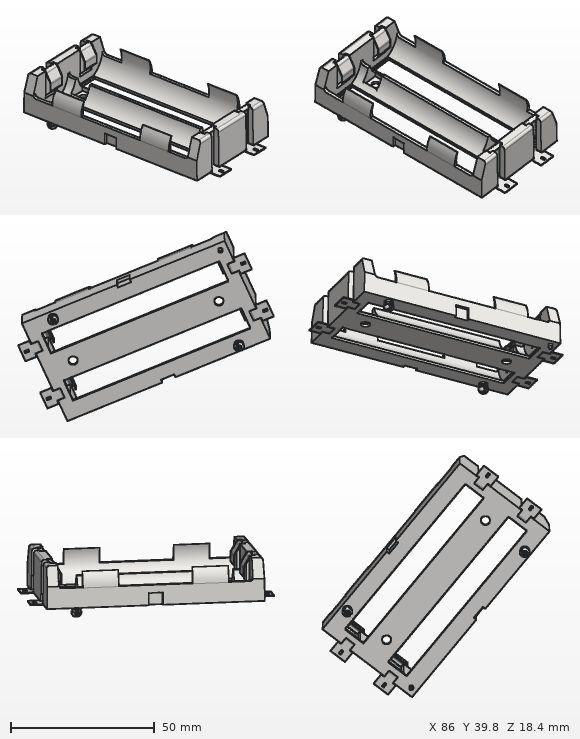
import cadquery as cq
import math

housing_length = 77.05
housing_width = 39.8
end_wall_height = 15.0
side_wall_height = 7.2
end_wall_inner_x = 34.3
end_wall_draft = 0.3
end_wall_top_radius = 1.0
end_wall_root_radius = 1.3
shoulder_base_z = 8.0
shoulder_inset = 2.4

cell_pitch = 19.2
cell_radius = 9.2
cell_axis_z = 9.3
floor_thickness = 1.0
window_length = 67.4
window_width = 8.2

clip_length = 12.7
clip_center_x = 19.4
clip_top_z = 12.7
clip_tip_thickness = 0.2

mount_x = 27.7
screw_pocket_size = 6.3
screw_hole_diameter = 3.2
notch_length = 5.0
notch_height = 4.4
notch_depth = 1.1

peg_y = 17.5
peg_length = 3.35
peg_collar_diameter = 3.2
peg_collar_length = 0.8
peg_neck_diameter = 2.9
peg_head_diameter = 3.6
peg_head_top = 1.7
peg_tip_diameter = 2.1
peg_flat_width = 3.2
peg_slot_width = 0.7
pin_x = 35.9
pin_diameter = 1.55
pin_straight_length = 0.9
pin_length = 1.6
pin_tip_diameter = 0.7

overall_length = 86
strip_thickness = 0.35
blade_width = 6.45
neck_width = 3.9
tab_inner_x = 38.7
tab_slot_x = 41.1
tab_slot_length = 1.55
tab_slot_width = 0.8
riser_outer_x = 36.2
foot_bend_radius = 0.2
crown_radius = 1.1
crown_top_z = 14.8
spring_angle = 30
spring_face_x = 32.1
spring_bottom_z = 7.3
spring_bend_radius = 0.8
spring_pocket_depth = 1.2
spring_pocket_floor_z = 4.0

half_length = housing_length / 2
half_width = housing_width / 2
half_pitch = cell_pitch / 2
crown_axis_x = riser_outer_x - crown_radius
crown_axis_z = crown_top_z - crown_radius
both_sides = (-1, 1)


def box(length, width, x, y, z_bottom, z_top):
    """Upright box centred at (x, y)."""
    height = z_top - z_bottom
    return cq.Workplane("XY").box(length, width, height, (True, True, False)).translate((x, y, z_bottom))


def box_between(x_start, x_end, width, z_bottom, z_top):
    """Upright box between two X positions, centred on y = 0."""
    return box(x_end - x_start, width, (x_start + x_end) / 2, 0, z_bottom, z_top)


def turned_to_end(body, end):
    """Turn a feature modelled at the -X end round to the +X end when end is 1."""
    return body.rotate((0, 0, 0), (0, 0, 1), 180) if end > 0 else body


def make_shell():
    """Low tray with two raised end walls, drafted outside and rounded at the top."""
    top_x = half_length - end_wall_draft
    shell = (
        cq.Workplane("XZ")
        .polyline([
            (-half_length, 0),
            (half_length, 0),
            (top_x, end_wall_height),
            (end_wall_inner_x, end_wall_height),
            (end_wall_inner_x, side_wall_height),
            (-end_wall_inner_x, side_wall_height),
            (-end_wall_inner_x, end_wall_height),
            (-top_x, end_wall_height),
        ])
        .close()
        .extrude(half_width, both=True)
    )
    for end in both_sides:
        outer_top = cq.selectors.NearestToPointSelector((end * top_x, 0, end_wall_height))
        shell = shell.edges(outer_top).fillet(end_wall_top_radius)
        inner_root = cq.selectors.NearestToPointSelector((end * end_wall_inner_x, 0, side_wall_height))
        shell = shell.edges(inner_root).fillet(end_wall_root_radius)
    return shell


def make_shoulder_cutter(side):
    """Wedge that slopes the top corners of both end walls on one side."""
    return (
        cq.Workplane("YZ")
        .polyline([
            (side * half_width, shoulder_base_z),
            (side * half_width, end_wall_height),
            (side * (half_width - shoulder_inset), end_wall_height),
        ])
        .close()
        .extrude(half_length, both=True)
    )


def make_trough_cutter(cell_side):
    """Cell cylinder flattened at the floor, plus the window through the floor."""
    cell_y = cell_side * half_pitch
    cylinder = (
        cq.Workplane("YZ")
        .center(cell_y, cell_axis_z)
        .circle(cell_radius)
        .extrude(end_wall_inner_x, both=True)
    )
    above_floor = box(housing_length, cell_pitch, 0, cell_y, floor_thickness, cell_axis_z + cell_radius)
    window = box(window_length, window_width, 0, cell_y, 0, cell_axis_z)
    return cylinder.intersect(above_floor).union(window)


def trough_half_width(z):
    """Half width of a cell trough at height z."""
    return math.sqrt(cell_radius**2 - (z - cell_axis_z) ** 2)


def upright_arc_middle(rise, lean):
    """Rise and lean at the middle of an arc that starts upright and leans over by its end."""
    radius = (rise**2 + lean**2) / (2 * lean)
    half_angle = math.asin(rise / radius) / 2
    return radius * math.sin(half_angle), radius * (1 - math.cos(half_angle))


def make_clip(x, side):
    """Clip that follows the cell inside and curls inward from the side wall outside."""
    inner_base_y = half_pitch + trough_half_width(side_wall_height)
    inner_tip_y = half_pitch + trough_half_width(clip_top_z)
    outer_tip_y = inner_tip_y + clip_tip_thickness
    rise = clip_top_z - side_wall_height
    lean = half_width - outer_tip_y
    mid_rise, mid_lean = upright_arc_middle(rise, lean)
    outer_mid = (side * (half_width - mid_lean), side_wall_height + mid_rise)
    return (
        cq.Workplane("YZ", origin=(x, 0, 0))
        .moveTo(side * half_width, side_wall_height)
        .threePointArc(outer_mid, (side * outer_tip_y, clip_top_z))
        .lineTo(side * inner_tip_y, clip_top_z)
        .threePointArc(
            (side * (half_pitch + cell_radius), cell_axis_z),
            (side * inner_base_y, side_wall_height),
        )
        .close()
        .extrude(clip_length / 2, both=True)
    )


def make_contact_cutter(end, cell_side):
    """Outer channel, crown seat and inner spring pocket for one contact."""
    channel = box_between(
        -half_length, strip_thickness - riser_outer_x, neck_width, 0, end_wall_height
    )
    crown_seat = box_between(
        -riser_outer_x, -end_wall_inner_x, blade_width, crown_axis_z, end_wall_height
    )
    spring_pocket = box_between(
        -end_wall_inner_x - spring_pocket_depth,
        -end_wall_inner_x,
        blade_width,
        spring_pocket_floor_z,
        end_wall_height,
    )
    cutter = channel.union(crown_seat).union(spring_pocket)
    return turned_to_end(cutter, end).translate((0, cell_side * half_pitch, 0))


def make_peg(x, y):
    """Snap peg: collar, neck and rounded head, flattened on two sides and split along Y."""
    head_radius = peg_head_diameter / 2
    tip_radius = peg_tip_diameter / 2
    mid_drop, mid_lean = upright_arc_middle(peg_length - peg_head_top, head_radius - tip_radius)
    bulge = (head_radius - mid_lean, -peg_head_top - mid_drop)
    peg = (
        cq.Workplane("XZ")
        .lineTo(peg_collar_diameter / 2, 0)
        .lineTo(peg_collar_diameter / 2, -peg_collar_length)
        .lineTo(peg_neck_diameter / 2, -peg_collar_length)
        .lineTo(peg_neck_diameter / 2, -peg_head_top)
        .lineTo(head_radius, -peg_head_top)
        .threePointArc(bulge, (tip_radius, -peg_length))
        .lineTo(0, -peg_length)
        .close()
        .revolve(360, (0, 0, 0), (0, 1, 0))
    )
    flats = box(peg_head_diameter, peg_flat_width, 0, 0, -peg_length, 0)
    slot = box(peg_slot_width, peg_head_diameter, 0, 0, -peg_length, -peg_collar_length)
    return peg.intersect(flats).cut(slot).translate((x, y, 0))


def make_locating_pin():
    """Short round pin with a tapered tip."""
    return (
        cq.Workplane("XZ")
        .polyline([
            (0, 0),
            (pin_diameter / 2, 0),
            (pin_diameter / 2, -pin_straight_length),
            (pin_tip_diameter / 2, -pin_length),
            (0, -pin_length),
        ])
        .close()
        .revolve(360, (0, 0, 0), (0, 1, 0))
        .translate((pin_x, -peg_y, 0))
    )


def make_housing():
    housing = make_shell()
    for side in both_sides:
        housing = housing.cut(make_shoulder_cutter(side))
        housing = housing.cut(make_trough_cutter(side))
        notch_y = side * (half_width - notch_depth / 2)
        housing = housing.cut(box(notch_length, notch_depth, 0, notch_y, 0, notch_height))
    for end in both_sides:
        x = end * mount_x
        pocket = box(screw_pocket_size, screw_pocket_size, x, 0, floor_thickness, side_wall_height)
        hole = cq.Workplane("XY").center(x, 0).circle(screw_hole_diameter / 2).extrude(floor_thickness)
        housing = housing.cut(pocket).cut(hole)
        for side in both_sides:
            housing = housing.cut(make_contact_cutter(end, side))
            housing = housing.union(make_clip(end * clip_center_x, side))
        housing = housing.union(make_peg(x, end * peg_y))
    return housing.union(make_locating_pin())


def make_spring_blade():
    """Crown bent over the end wall, then a sloping leaf ending in an upright contact face."""
    slope = math.radians(spring_angle)
    inner_radius = crown_radius - strip_thickness

    def crown_point(radius, angle):
        return (-crown_axis_x + radius * math.cos(angle), crown_axis_z + radius * math.sin(angle))

    def slope_point_at(radius, x):
        """Point at position x on the line leaving the crown arc of this radius."""
        start_x, start_z = crown_point(radius, slope)
        return (x, start_z - (x - start_x) / math.tan(slope))

    crown_middle = (math.pi + slope) / 2
    face_x = -spring_face_x
    back_x = face_x - strip_thickness
    blade = (
        cq.Workplane("XZ")
        .moveTo(*crown_point(crown_radius, math.pi))
        .threePointArc(crown_point(crown_radius, crown_middle), crown_point(crown_radius, slope))
        .lineTo(*slope_point_at(crown_radius, face_x))
        .lineTo(face_x, spring_bottom_z)
        .lineTo(back_x, spring_bottom_z)
        .lineTo(*slope_point_at(inner_radius, back_x))
        .lineTo(*crown_point(inner_radius, slope))
        .threePointArc(crown_point(inner_radius, crown_middle), crown_point(inner_radius, math.pi))
        .close()
        .extrude(blade_width / 2, both=True)
    )
    face_bend_x, face_bend_z = slope_point_at(crown_radius, face_x)
    back_bend_x, back_bend_z = slope_point_at(inner_radius, back_x)
    face_bend = cq.selectors.NearestToPointSelector((face_bend_x, 0, face_bend_z))
    back_bend = cq.selectors.NearestToPointSelector((back_bend_x, 0, back_bend_z))
    blade = blade.edges(face_bend).fillet(spring_bend_radius)
    return blade.edges(back_bend).fillet(spring_bend_radius - strip_thickness)


def make_contact(end, cell_side):
    """Solder tab, narrow riser in the channel and wide spring blade."""
    riser_inner_x = riser_outer_x - strip_thickness
    foot = box_between(-tab_inner_x, -riser_inner_x, neck_width, 0, strip_thickness)
    riser = box_between(-riser_outer_x, -riser_inner_x, neck_width, 0, crown_axis_z)
    foot_corner = cq.selectors.NearestToPointSelector((-riser_outer_x, 0, strip_thickness))
    bent_strip = foot.union(riser).edges(foot_corner).fillet(foot_bend_radius)

    tab = box_between(-overall_length / 2, -tab_inner_x, blade_width, 0, strip_thickness)
    tab_slot = box(tab_slot_length, tab_slot_width, -tab_slot_x, 0, 0, strip_thickness)
    contact = bent_strip.union(tab.cut(tab_slot)).union(make_spring_blade())
    return turned_to_end(contact, end).translate((0, cell_side * half_pitch, 0))


housing = make_housing()
contacts = [make_contact(end, cell_side) for end in both_sides for cell_side in both_sides]

result = cq.Compound.makeCompound([housing.val(), *[contact.val() for contact in contacts]])